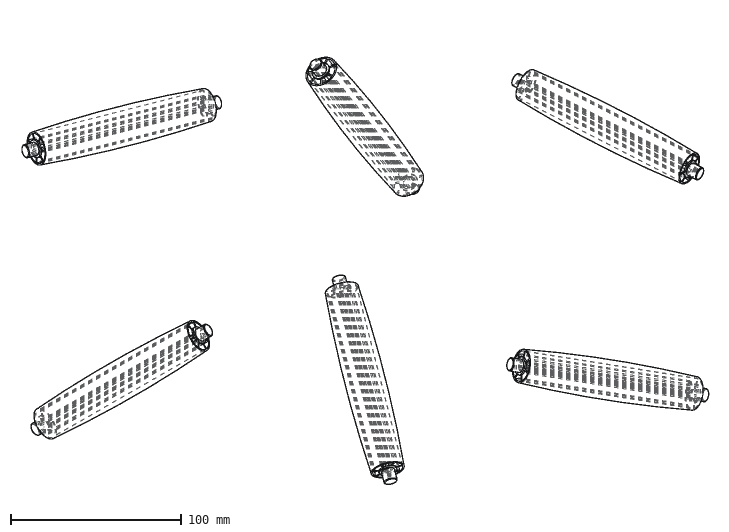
import cadquery as cq

overall_length = 136.0
roller_length = 120.0
end_pin_length = (overall_length - roller_length) / 2

core_diameter = 6.0
shell_bore_diameter = 18.0
roller_end_diameter = 20.0
roller_middle_diameter = 24.0
spoke_count = 7
spoke_width = 1.0
first_spoke_angle = -90.0

journal_diameter = 8.0
journal_chamfer = 0.5
collar_diameter = 11.0
collar_thickness = 1.0


def make_core():
    """Solid round core along the whole roller."""
    return cq.Workplane("XZ").circle(core_diameter / 2).extrude(roller_length / 2, both=True)


def make_crowned_shell():
    """Roller shell whose outside swells in an arc from the ends to the middle."""
    half_length = roller_length / 2
    end_radius = roller_end_diameter / 2
    middle_radius = roller_middle_diameter / 2
    bore_radius = shell_bore_diameter / 2
    return (
        cq.Workplane("XY")
        .moveTo(bore_radius, -half_length)
        .lineTo(end_radius, -half_length)
        .threePointArc((middle_radius, 0), (end_radius, half_length))
        .lineTo(bore_radius, half_length)
        .close()
        .revolve(360, (0, 0, 0), (0, 1, 0))
    )


def make_spoke(angle):
    """Flat web along the whole roller, running from the axis to mid-wall of the shell ends."""
    reach = (shell_bore_diameter + roller_end_diameter) / 4
    return (
        cq.Workplane("XY")
        .box(reach, roller_length, spoke_width)
        .translate((reach / 2, 0, 0))
        .rotate((0, 0, 0), (0, 1, 0), -angle)
    )


def make_roller():
    """Crowned shell carried on the core by evenly spaced spokes, all in one piece."""
    roller = make_core()
    for index in range(spoke_count):
        roller = roller.union(make_spoke(first_spoke_angle + index * 360 / spoke_count))
    return roller.union(make_crowned_shell())


def make_end_pin():
    """Chamfered journal with a collar that rests against the -Y end of the roller."""
    return (
        cq.Workplane("XZ", origin=(0, -roller_length / 2, 0))
        .circle(journal_diameter / 2)
        .extrude(end_pin_length)
        .faces("<Y")
        .chamfer(journal_chamfer)
        .union(
            cq.Workplane("XZ", origin=(0, -roller_length / 2, 0))
            .circle(collar_diameter / 2)
            .extrude(collar_thickness)
        )
    )


roller = make_roller()
end_pins = [make_end_pin().rotate((0, 0, 0), (0, 0, 1), turn) for turn in (0, 180)]

result = cq.Compound.makeCompound([roller.val(), *[end_pin.val() for end_pin in end_pins]])